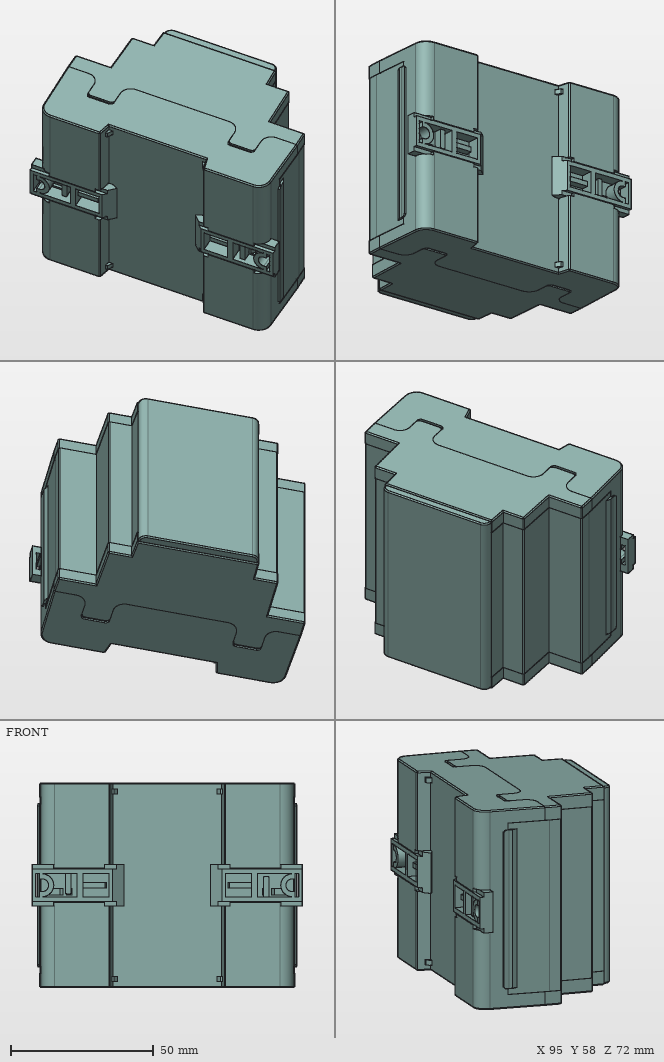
import cadquery as cq

HALF_LENGTH = 36.0
BEVEL = 0.5
EDGE_BREAK = 0.4
PARTING_X = 44.8
PARTING_Y = 25.0
FOOT_X = 44.4
FOOT_RADIUS = 4.75
LOW_LEDGE_Y = 31.4
LOW_LEDGE_TOP_X = 44.7
MID_X = 31.2
MID_TOP_X = 30.8
MID_LEDGE_Y = 47.9
TOP_X = 22.3
TOP_TIER_X = 22.0
TOP_TIER_Y = 55.1

FRONT_Y = 58.0
FRONT_X = 21.8
FRONT_RADIUS = 2.8
FRONT_HALF_LENGTH = 35.6

CHANNEL_Y = 4.8
CHANNEL_FLOOR_X = 19.0
CHANNEL_MOUTH_X = 20.1
STOP_Z = 33.0
STOP_WIDTH = 1.8
STOP_DEPTH = 1.9
STOP_REACH = 1.5
STOP_NOSE_X = 18.7

TONGUE_INNER_X = 22.3
TONGUE_OUTER_X = 32.6
TONGUE_Y = 15.5
TONGUE_CORNER = 1.4
SHOULDER_RADIUS = 4.1
GROOVE_WIDTH = 1.0
GROOVE_DEPTH = 0.8

PANEL_HALF_LENGTH = 31.0
PANEL_BOTTOM_Y = 11.5
PANEL_CREST_Y = 26.8
PANEL_INSET = 0.14
PANEL_EDGE_BREAK = 0.5
PANEL_THICKNESS = 1.4
GRIP_HALF_LENGTH = 28.7
GRIP_TOP_Y = 14.7
GRIP_SHOULDER_Y = 12.8
GRIP_BOTTOM_Y = 9.5
GRIP_ROOT_X = 44.5
GRIP_X = 45.6
GRIP_DRAFT = 0.3
GRIP_GAP = 0.2
GRIP_CORNER = 0.8

CLIP_OUTER_X = 47.5
CLIP_FACE_END_X = 19.3
CLIP_TIP_X = 15.3
CLIP_TIP_Y = 3.7
CLIP_BACK_X = 17.5
CLIP_FACE_HALF_WIDTH = 5.7
CLIP_HALF_WIDTH = 7.3
CLIP_STEP_Y = 1.3
SLOT_CLEARANCE = 0.3
GUIDE_INNER_X = 22.0
GUIDE_OUTER_X = 40.0
POCKET_HALF_WIDTH = 4.1
INNER_POCKET = (20.5, 29.6)
OUTER_POCKET = (31.7, 43.6)
PRY_SLOT = (44.8, 46.2)
BOSS_X = 43.9
BOSS_RADIUS = 4.0
BOSS_HOLE_RADIUS = 2.2
RIB_END_X = 21.4
RIB_WIDTH = 1.8
RIB_END_SLOPE = 0.5
RIB_TOP_Y = 1.9
POST_X = 34.8
POST_WIDTH = 1.9
POST_LENGTH = 7.2
POST_CORNER = 0.5
POST_TOP_Y = 1.5
DETENT_DEPTH = 1.1
DETENT_RAMP = 1.1
DETENT_Z = (-3.4, -1.1)
INNER_DETENT = (33.4, 35.4)
OUTER_DETENT = (36.6, 41.3)

MARGIN = 0.95
SIDES = (1, -1)


def prism(outline, half_length):
    """Closed outline in XY, extruded equally to both sides of Z = 0."""
    return outline.close().extrude(half_length, both=True)


def block(x_range, y_range, z_range):
    size = [high - low for low, high in (x_range, y_range, z_range)]
    return cq.Workplane("XY").box(*size, centered=False).translate((x_range[0], y_range[0], z_range[0]))


def on_side(right_hand_shape, side):
    """The shape itself on the +X side, its mirror image on the -X side."""
    return right_hand_shape if side > 0 else right_hand_shape.mirror("YZ")


def break_edges(shape, corners, size):
    """Chamfers the edges along Z that stand on the given XY corners."""
    for x, y in corners:
        shape = shape.edges("|Z").edges(cq.NearestToPointSelector((x, y, 0))).chamfer(size)
    return shape


def housing_half():
    half = prism(
        cq.Workplane("XY")
        .moveTo(0, CHANNEL_Y)
        .lineTo(CHANNEL_FLOOR_X, CHANNEL_Y)
        .lineTo(CHANNEL_MOUTH_X, 0)
        .lineTo(FOOT_X - FOOT_RADIUS, 0)
        .radiusArc((FOOT_X, FOOT_RADIUS), -FOOT_RADIUS)
        .lineTo(PARTING_X, PARTING_Y)
        .lineTo(LOW_LEDGE_TOP_X, LOW_LEDGE_Y)
        .lineTo(MID_X, LOW_LEDGE_Y)
        .lineTo(MID_TOP_X, MID_LEDGE_Y)
        .lineTo(TOP_X, MID_LEDGE_Y)
        .lineTo(TOP_TIER_X, TOP_TIER_Y)
        .lineTo(0, TOP_TIER_Y),
        HALF_LENGTH,
    )
    long_edges = [(CHANNEL_MOUTH_X, 0), (LOW_LEDGE_TOP_X, LOW_LEDGE_Y), (MID_TOP_X, MID_LEDGE_Y)]
    return break_edges(half, long_edges, EDGE_BREAK)


def housing_block():
    half = housing_half()
    whole = half.union(half.mirror("YZ"))
    return whole.faces("<Z or >Z").chamfer(BEVEL)


def parting_half():
    """Everything on the base side of the parting line, right half."""
    beyond = CLIP_OUTER_X
    shoulder_y = PARTING_Y - SHOULDER_RADIUS
    corner_y = TONGUE_Y + TONGUE_CORNER
    return prism(
        cq.Workplane("XY")
        .moveTo(0, -MARGIN)
        .lineTo(beyond, -MARGIN)
        .lineTo(beyond, PARTING_Y)
        .lineTo(TONGUE_OUTER_X + SHOULDER_RADIUS, PARTING_Y)
        .radiusArc((TONGUE_OUTER_X, shoulder_y), -SHOULDER_RADIUS)
        .lineTo(TONGUE_OUTER_X, corner_y)
        .radiusArc((TONGUE_OUTER_X - TONGUE_CORNER, TONGUE_Y), TONGUE_CORNER)
        .lineTo(TONGUE_INNER_X + TONGUE_CORNER, TONGUE_Y)
        .radiusArc((TONGUE_INNER_X, corner_y), TONGUE_CORNER)
        .lineTo(TONGUE_INNER_X, shoulder_y)
        .radiusArc((TONGUE_INNER_X - SHOULDER_RADIUS, PARTING_Y), -SHOULDER_RADIUS)
        .lineTo(0, PARTING_Y),
        HALF_LENGTH + MARGIN,
    )


def tongue_groove():
    height = 2 * TONGUE_CORNER + GROOVE_WIDTH
    middle = ((TONGUE_INNER_X + TONGUE_OUTER_X) / 2, TONGUE_Y - GROOVE_WIDTH + height / 2)
    return (
        cq.Workplane("XY")
        .center(*middle)
        .rect(TONGUE_OUTER_X - TONGUE_INNER_X, height)
        .extrude(GROOVE_DEPTH)
        .edges("|Z and <Y")
        .fillet(TONGUE_CORNER)
        .translate((0, 0, HALF_LENGTH - GROOVE_DEPTH))
    )


def rail_stop():
    nose_y = CHANNEL_Y - STOP_DEPTH
    return prism(
        cq.Workplane("XY")
        .moveTo(CHANNEL_MOUTH_X, CHANNEL_Y + MARGIN)
        .lineTo(CHANNEL_FLOOR_X - STOP_REACH, CHANNEL_Y + MARGIN)
        .lineTo(CHANNEL_FLOOR_X - STOP_REACH, CHANNEL_Y)
        .lineTo(STOP_NOSE_X, nose_y)
        .lineTo(CHANNEL_MOUTH_X, nose_y),
        STOP_WIDTH / 2,
    )


def clip_channel():
    """T-shaped guide for a clip, opened to its full width at both ends."""
    face = CLIP_FACE_HALF_WIDTH + SLOT_CLEARANCE
    wide = (-CLIP_HALF_WIDTH, CLIP_HALF_WIDTH)
    return (
        block((CLIP_TIP_X, CLIP_OUTER_X), (CLIP_STEP_Y, CHANNEL_Y), wide)
        .union(block((CLIP_TIP_X, CLIP_OUTER_X), (0, CLIP_STEP_Y), (-face, face)))
        .union(block((CLIP_TIP_X, GUIDE_INNER_X), (0, CLIP_STEP_Y), wide))
        .union(block((GUIDE_OUTER_X, CLIP_OUTER_X), (0, CLIP_STEP_Y), wide))
    )


def detents():
    """Two notches in the guide floor behind each clip, the outer one with a ramp."""
    floor_y = CHANNEL_Y + DETENT_DEPTH
    inner = block(INNER_DETENT, (CHANNEL_Y, floor_y), DETENT_Z)
    outer = prism(
        cq.Workplane("XY")
        .moveTo(OUTER_DETENT[0], CHANNEL_Y)
        .lineTo(OUTER_DETENT[0] + DETENT_RAMP, floor_y)
        .lineTo(OUTER_DETENT[1], floor_y)
        .lineTo(OUTER_DETENT[1], CHANNEL_Y),
        (DETENT_Z[1] - DETENT_Z[0]) / 2,
    )
    return inner.union(outer.translate((0, 0, sum(DETENT_Z) / 2)))


def stair(side_inset, ledge_inset):
    """Stepped region from the middle of the housing out to the inset side wall."""
    foot_x = PARTING_X - (PARTING_X - FOOT_X) * (PARTING_Y - PANEL_BOTTOM_Y) / (PARTING_Y - FOOT_RADIUS)
    low_y = LOW_LEDGE_Y - ledge_inset
    mid_y = MID_LEDGE_Y - ledge_inset
    return prism(
        cq.Workplane("XY")
        .moveTo(0, PANEL_BOTTOM_Y)
        .lineTo(foot_x - side_inset, PANEL_BOTTOM_Y)
        .lineTo(PARTING_X - side_inset, PANEL_CREST_Y)
        .lineTo(LOW_LEDGE_TOP_X - side_inset, low_y)
        .lineTo(MID_X - side_inset, low_y)
        .lineTo(MID_TOP_X - side_inset, mid_y)
        .lineTo(TOP_X - side_inset, mid_y)
        .lineTo(TOP_TIER_X - side_inset, TOP_TIER_Y)
        .lineTo(0, TOP_TIER_Y),
        PANEL_HALF_LENGTH,
    )


def panel_front():
    ledge_corners = [(LOW_LEDGE_TOP_X - PANEL_INSET, LOW_LEDGE_Y), (MID_TOP_X - PANEL_INSET, MID_LEDGE_Y)]
    return break_edges(stair(PANEL_INSET, 0), ledge_corners, PANEL_EDGE_BREAK)


def panel_back():
    return stair(PANEL_INSET + PANEL_THICKNESS, PANEL_THICKNESS)


def panel_recess():
    zone = block(
        (0, CLIP_OUTER_X), (PANEL_BOTTOM_Y, TOP_TIER_Y), (-PANEL_HALF_LENGTH, PANEL_HALF_LENGTH)
    )
    return zone.cut(panel_back())


def panel_grip():
    """Finger lip on the panel; its lower edge hangs free in front of the base."""
    root_x = PARTING_X - PANEL_INSET - PANEL_THICKNESS / 2
    lip_back_x = PARTING_X + GRIP_GAP - PANEL_INSET
    lip = prism(
        cq.Workplane("XY")
        .moveTo(root_x, PANEL_BOTTOM_Y)
        .lineTo(root_x, GRIP_TOP_Y)
        .lineTo(GRIP_ROOT_X, GRIP_TOP_Y)
        .lineTo(GRIP_X - GRIP_DRAFT, GRIP_SHOULDER_Y)
        .lineTo(GRIP_X - GRIP_DRAFT, PANEL_BOTTOM_Y)
        .lineTo(GRIP_X, GRIP_BOTTOM_Y)
        .lineTo(lip_back_x, GRIP_BOTTOM_Y)
        .lineTo(lip_back_x, PANEL_BOTTOM_Y),
        GRIP_HALF_LENGTH,
    )
    return lip.faces("<Y").edges("<Z or >Z").chamfer(GRIP_CORNER)


def make_panel(side):
    panel = panel_front().cut(panel_back())
    return on_side(panel.union(panel_grip()), side)


def make_base():
    half = parting_half()
    base = housing_block().intersect(half.union(half.mirror("YZ")))
    for side in SIDES:
        base = base.cut(on_side(panel_recess(), side)).cut(on_side(clip_channel(), side))
        base = base.cut(on_side(detents(), side))
        for flip in (False, True):
            groove = tongue_groove().mirror("XY") if flip else tongue_groove()
            base = base.cut(on_side(groove, side))
            stop_z = -STOP_Z if flip else STOP_Z
            base = base.union(on_side(rail_stop().translate((0, 0, stop_z)), side))
    return base


def raised_front():
    front = block(
        (-FRONT_X, FRONT_X), (TOP_TIER_Y, FRONT_Y), (-FRONT_HALF_LENGTH, FRONT_HALF_LENGTH)
    )
    front = front.edges("|Z and >Y").fillet(FRONT_RADIUS)
    return front.faces("<Z or >Z").edges("not <Y").chamfer(BEVEL)


def make_cover():
    half = parting_half()
    cover = housing_block().cut(half.union(half.mirror("YZ")))
    for side in SIDES:
        cover = cover.cut(on_side(panel_recess(), side))
    return cover.union(raised_front())


def clip_blank():
    step_x = CLIP_FACE_END_X - (CLIP_FACE_END_X - CLIP_TIP_X) * CLIP_STEP_Y / CLIP_TIP_Y
    face = prism(
        cq.Workplane("XY")
        .moveTo(CLIP_OUTER_X, 0)
        .lineTo(CLIP_FACE_END_X, 0)
        .lineTo(step_x, CLIP_STEP_Y)
        .lineTo(CLIP_OUTER_X, CLIP_STEP_Y),
        CLIP_FACE_HALF_WIDTH,
    )
    flange = prism(
        cq.Workplane("XY")
        .moveTo(CLIP_OUTER_X, CLIP_STEP_Y)
        .lineTo(step_x, CLIP_STEP_Y)
        .lineTo(CLIP_TIP_X, CLIP_TIP_Y)
        .lineTo(CLIP_BACK_X, CHANNEL_Y)
        .lineTo(CLIP_OUTER_X, CHANNEL_Y),
        CLIP_HALF_WIDTH,
    )
    return face.union(flange)


def clip_cylinder(radius):
    return cq.Workplane("XZ").center(BOSS_X, 0).circle(radius).extrude(-CHANNEL_Y)


def clip_pockets():
    across = (-POCKET_HALF_WIDTH, POCKET_HALF_WIDTH)
    deep = (0, CHANNEL_Y)
    outer = block(OUTER_POCKET, deep, across).cut(clip_cylinder(BOSS_RADIUS))
    hole = clip_cylinder(BOSS_HOLE_RADIUS)
    hole = hole.union(block((BOSS_X, PRY_SLOT[0]), deep, (-BOSS_HOLE_RADIUS, BOSS_HOLE_RADIUS)))
    pry_slot = block(PRY_SLOT, (0, CHANNEL_Y), across)
    return block(INNER_POCKET, deep, across).union(outer).union(hole).union(pry_slot)


def clip_rib():
    return prism(
        cq.Workplane("XY")
        .moveTo(INNER_POCKET[1], CHANNEL_Y)
        .lineTo(RIB_END_X, CHANNEL_Y)
        .lineTo(RIB_END_X + RIB_END_SLOPE, RIB_TOP_Y)
        .lineTo(INNER_POCKET[1], RIB_TOP_Y),
        RIB_WIDTH / 2,
    )


def clip_post(direction):
    """Post from one long wall of the pocket; direction is the wall it starts from."""
    post = block(
        (POST_X - POST_WIDTH / 2, POST_X + POST_WIDTH / 2),
        (POST_TOP_Y, CHANNEL_Y),
        (POCKET_HALF_WIDTH - POST_LENGTH, POCKET_HALF_WIDTH),
    )
    post = post.edges("|Y and <Z").fillet(POST_CORNER)
    return post if direction > 0 else post.mirror("XY")


def make_clip(side):
    clip = clip_blank().cut(clip_pockets())
    clip = clip.union(clip_rib()).union(clip_post(-side))
    return on_side(clip, side)


base = make_base()
cover = make_cover()
panels = [make_panel(side) for side in SIDES]
clips = [make_clip(side) for side in SIDES]

result = cq.Compound.makeCompound(
    [base.val(), cover.val()] + [panel.val() for panel in panels] + [clip.val() for clip in clips]
)